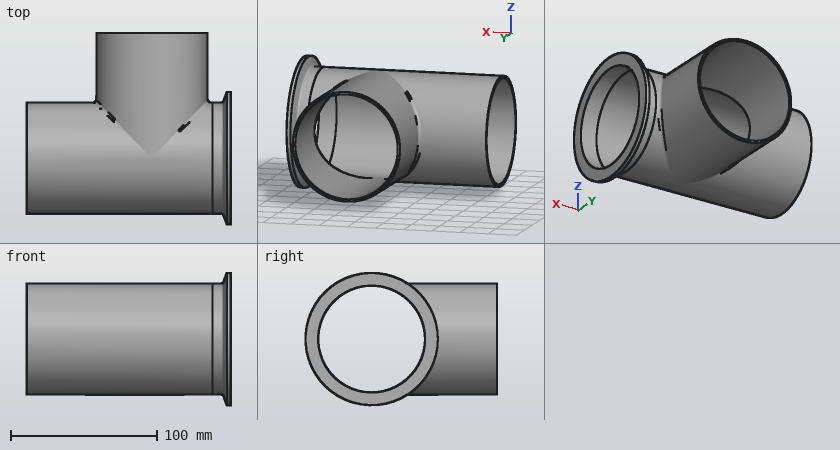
import cadquery as cq
import math

tube_diameter = 76.2
wall = 1.65
run_length = 127.0
branch_to_end = 85.725
junction_fillet = 2.2
fillet_sink = 0.01
fillet_limit = 84.0
fillet_steps = 24
burial = 1.5

ferrule_length = 12.7
flange_diameter = 90.6
rim_thickness = 2.85
flange_slope = 20.0
neck_fillet = 1.2

outer_radius = tube_diameter / 2
bore_radius = outer_radius - wall
flange_radius = flange_diameter / 2

run_start = -branch_to_end
run_end = run_start + run_length
ferrule_end = run_end + ferrule_length
cone_length = (flange_radius - outer_radius) * math.tan(math.radians(flange_slope))


def run_cylinder(radius):
    return cq.Workplane("YZ", origin=(run_start, 0, 0)).circle(radius).extrude(run_length)


def branch_cylinder(radius):
    return cq.Workplane("XZ").circle(radius).extrude(-branch_to_end)


def fillet_section(angle):
    """Section of the junction fillet where a ball rolling in the corner touches both tubes.

    angle is measured about the run axis from the +Y side, so the corner closes up at +-90 degrees.
    """
    flat = math.cos(math.radians(angle))
    rise = math.sin(math.radians(angle))
    sunk_radius = outer_radius - fillet_sink
    ball_reach = sunk_radius + junction_fillet

    ball_center = cq.Vector(ball_reach * flat, ball_reach * flat, ball_reach * rise)
    run_touch = cq.Vector(ball_reach * flat, sunk_radius * flat, sunk_radius * rise)
    branch_touch = cq.Vector(sunk_radius * flat, ball_reach * flat, sunk_radius * rise)

    chord_middle = (run_touch + branch_touch) / 2
    inward = chord_middle - ball_center
    arc_middle = ball_center + inward.normalized() * junction_fillet
    buried_corner = chord_middle + inward * burial
    return cq.Wire.assembleEdges([
        cq.Edge.makeThreePointArc(run_touch, arc_middle, branch_touch),
        cq.Edge.makeLine(branch_touch, buried_corner),
        cq.Edge.makeLine(buried_corner, run_touch),
    ])


def make_junction_fillet():
    """Fillet along the +X seam, narrowing to nothing at the top and bottom of the tubes."""
    step = 2 * fillet_limit / fillet_steps
    sections = [fillet_section(-fillet_limit + step * index) for index in range(fillet_steps + 1)]
    return cq.Workplane(cq.Solid.makeLoft(sections))


def make_tee():
    """Equal tee with a rounded junction and a bore through all three mouths."""
    fillet = make_junction_fillet()
    body = run_cylinder(outer_radius).union(branch_cylinder(outer_radius))
    body = body.union(fillet).union(fillet.mirror("YZ"))
    return body.cut(run_cylinder(bore_radius)).cut(branch_cylinder(bore_radius))


def make_ferrule():
    """Short neck flaring through a cone into the clamp rim, revolved about X."""
    rim_start = ferrule_end - rim_thickness
    profile = [
        (run_end, bore_radius),
        (run_end, outer_radius),
        (rim_start - cone_length, outer_radius),
        (rim_start, flange_radius),
        (ferrule_end, flange_radius),
        (ferrule_end, bore_radius),
    ]
    body = cq.Workplane("XY").polyline(profile).close().revolve(360, (0, 0, 0), (1, 0, 0))
    neck_root = cq.selectors.NearestToPointSelector((rim_start - cone_length, 0, 0))
    return body.edges(neck_root).fillet(neck_fillet)


tee = make_tee()
ferrule = make_ferrule()

result = cq.Compound.makeCompound([tee.val(), ferrule.val()])